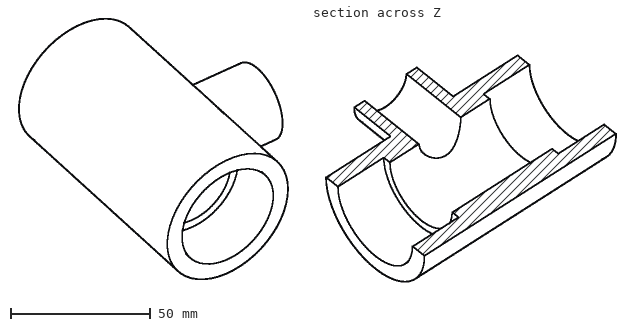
import cadquery as cq

run_length = 92.0
run_diameter = 53.0
run_bore_diameter = 33.4

socket_diameter = 40.0
socket_depth = 22.0

branch_diameter = 30.2
branch_bore_diameter = 20.0
branch_reach = 46.0


def cylinder_along_x(diameter, length, start_x):
    return cq.Workplane("YZ").workplane(offset=start_x).circle(diameter / 2).extrude(length)


def cylinder_along_y(diameter, length):
    return cq.Workplane("XZ").circle(diameter / 2).extrude(-length)


run = cylinder_along_x(run_diameter, run_length, -run_length / 2)
branch = cylinder_along_y(branch_diameter, branch_reach)
result = run.union(branch)

result = result.cut(cylinder_along_x(run_bore_diameter, run_length, -run_length / 2))
result = result.cut(cylinder_along_y(branch_bore_diameter, branch_reach))

for socket_start in (-run_length / 2, run_length / 2 - socket_depth):
    result = result.cut(cylinder_along_x(socket_diameter, socket_depth, socket_start))